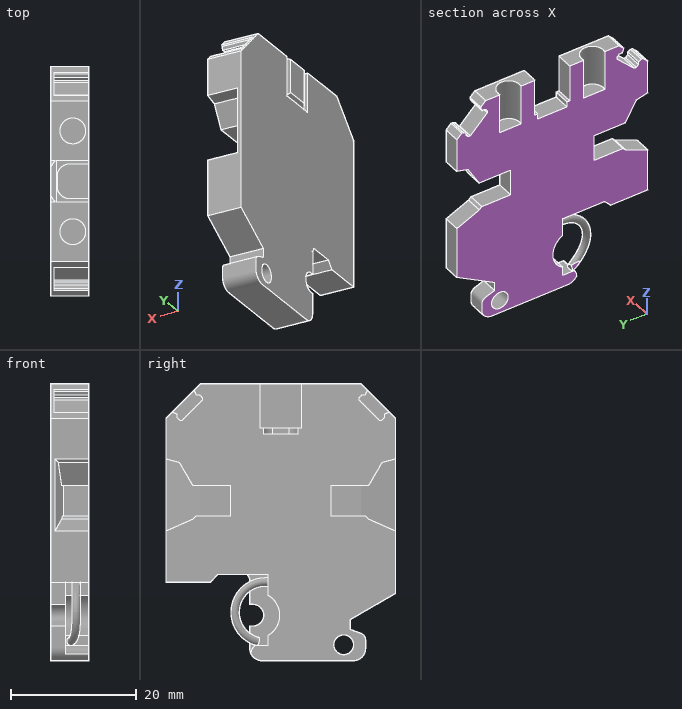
import cadquery as cq
import math


thickness = 6.1
width = 36.5
height = 44.0
half_width = width / 2
top_chamfer = 5.5
foot_radius = 2.0

shoulder_z = 10.7
shoulder_angle = 30.0
neck_y = 11.05
neck_z = 5.0
foot_back_y = 13.5
foot_slope_angle = 20.0
foot_knee_radius = 1.2
foot_front_y = -4.95
rail_roof_z = 13.7
rail_roof_chamfer_y = 0.38
rail_roof_chamfer_z = 0.65
rail_roof_end_y = -10.0
rail_claw_y = -11.15
rail_claw_z = 12.47
rail_bite_radius = 1.7
rail_bite_y = -4.42
rail_bite_z = 7.25
foot_hole_diameter = 3.1
foot_hole_y = 10.0
foot_hole_z = 2.55

spring_wall = 2.35
spring_pocket_y = -2.0
spring_floor_z = 2.41
scoop_radius = 3.7
scoop_half_height = 3.19
scoop_z = 7.22
lip_radius = 1.6
lip_front_y = -4.71
lip_centre_z = 1.19
lip_bottom_z = 1.05

wire_diameter = 1.36
wire_x = 4.07
loop_radius = 4.8
loop_y = -2.44
loop_z = 7.72
wire_bend = 0.38
wire_end_angle = 75.0
wire_root_length = 1.5
wire_bend_steps = 6
wire_tangent_step = 0.01

screw_diameter = 4.1
screw_x = 3.53
screw_y = 8.0
screw_depth = 7.6

marker_half_width = 3.32
marker_bottom_z = 37.0
marker_taper = 1.1
marker_depth = 0.7

bridge_wall = 0.97
bridge_half_width = 3.3
bridge_floor_z = 37.0
bridge_slot_wall = 1.1
bridge_slot_half_width = 2.77
bridge_slot_corner_radius = 2.06
bridge_slot_corner_x = 3.07
bridge_slot_depth = 1.0

label_wall = 0.55
label_edge = 0.94
label_step_drops = (0.3, 0.56)
label_step_insets = (0.03, 0.26)
label_hook = 0.55
label_bevel = 0.42
label_side = 0.36

entry_wall = 0.7
entry_top_z = 32.07
entry_bottom_z = 20.6
throat_y = 13.96
throat_wall = 1.76
throat_top_z = 27.84
throat_bottom_z = 22.5
roof_knee_y = 16.1
roof_knee_z = 31.5
conductor_wall = 2.06
conductor_bottom_z = 22.97
conductor_end_y = 8.0

overshoot = 1.0


def side_plane(x):
    """YZ sketch plane at the given x; extrusion runs toward +X."""
    return cq.Workplane("YZ").workplane(offset=x)


def block(x_range, y_range, z_range):
    """Axis-aligned box between the given limits."""
    lows, highs = zip(x_range, y_range, z_range)
    sizes = [high - low for low, high in zip(lows, highs)]
    return cq.Workplane("XY").box(*sizes, centered=False).translate(lows)


def mirrored(shape):
    """Copy of a shape on the other side of the XZ plane."""
    return shape.mirror("XZ")


def make_housing():
    shoulder_drop = (half_width - neck_y) * math.tan(math.radians(shoulder_angle))
    foot_top_z = neck_z - (foot_back_y - neck_y) * math.tan(math.radians(foot_slope_angle))
    outline = [
        (half_width - top_chamfer, height),
        (half_width, height - top_chamfer),
        (half_width, shoulder_z),
        (neck_y, shoulder_z - shoulder_drop),
        (neck_y, neck_z),
        (foot_back_y, foot_top_z),
        (foot_back_y, 0),
        (foot_front_y, 0),
        (foot_front_y, rail_roof_z - rail_roof_chamfer_z),
        (foot_front_y - rail_roof_chamfer_y, rail_roof_z),
        (rail_roof_end_y, rail_roof_z),
        (rail_claw_y, rail_claw_z),
        (-half_width, rail_claw_z),
        (-half_width, height - top_chamfer),
        (-half_width + top_chamfer, height),
    ]
    housing = side_plane(0).polyline(outline).close().extrude(thickness)
    housing = housing.faces("<Z").edges("|X").fillet(foot_radius)
    knee = cq.selectors.NearestToPointSelector((thickness / 2, foot_back_y, foot_top_z))
    return housing.edges("|X").edges(knee).fillet(foot_knee_radius)


def make_foot_openings():
    hole = side_plane(0).center(foot_hole_y, foot_hole_z).circle(foot_hole_diameter / 2).extrude(thickness)
    bite = side_plane(0).center(rail_bite_y, rail_bite_z).circle(rail_bite_radius).extrude(spring_wall)
    bite_mouth = block(
        (0, spring_wall),
        (foot_front_y - overshoot, rail_bite_y),
        (rail_bite_z - rail_bite_radius, rail_bite_z + rail_bite_radius),
    )
    return hole.union(bite).union(bite_mouth)


def make_spring_pocket():
    scoop_depth = scoop_radius - math.sqrt(scoop_radius**2 - scoop_half_height**2)
    lip_top_angle = math.asin((spring_floor_z - lip_centre_z) / lip_radius)
    lip_bottom_angle = math.asin((lip_bottom_z - lip_centre_z) / lip_radius)

    def lip_point(angle):
        y = lip_front_y + lip_radius * (1 - math.cos(angle))
        return (y, lip_centre_z + lip_radius * math.sin(angle))

    return (
        side_plane(spring_wall)
        .moveTo(spring_pocket_y, rail_roof_z)
        .lineTo(spring_pocket_y, scoop_z + scoop_half_height)
        .threePointArc(
            (spring_pocket_y + scoop_depth, scoop_z),
            (spring_pocket_y, scoop_z - scoop_half_height),
        )
        .lineTo(spring_pocket_y, spring_floor_z)
        .lineTo(*lip_point(lip_top_angle))
        .threePointArc(lip_point((lip_top_angle + lip_bottom_angle) / 2), lip_point(lip_bottom_angle))
        .lineTo(foot_front_y - overshoot, lip_bottom_z)
        .lineTo(foot_front_y - overshoot, rail_roof_z)
        .close()
        .extrude(thickness - spring_wall)
    )


def make_wire():
    """Bowed wire: a round loop whose lower end bends toward the closed side."""

    def loop_point(angle):
        bend = wire_bend * max(angle, 0) ** 3
        return cq.Vector(
            wire_x - bend,
            loop_y - loop_radius * math.cos(angle),
            loop_z - loop_radius * math.sin(angle),
        )

    upper = cq.Edge.makeThreePointArc(
        loop_point(-math.pi / 2), loop_point(-math.pi / 4), loop_point(0)
    )
    end_angle = math.radians(wire_end_angle)
    end_direction = loop_point(end_angle + wire_tangent_step) - loop_point(end_angle - wire_tangent_step)
    lower = cq.Edge.makeSpline(
        [loop_point(end_angle * step / wire_bend_steps) for step in range(wire_bend_steps + 1)],
        tangents=[cq.Vector(0, 0, -1), end_direction],
    )
    root_start = loop_point(-math.pi / 2) + cq.Vector(0, wire_root_length, 0)
    root = cq.Edge.makeLine(root_start, loop_point(-math.pi / 2))
    path = cq.Wire.assembleEdges([root, upper, lower])
    section = cq.Workplane(cq.Plane(root_start, (1, 0, 0), (0, -1, 0))).circle(wire_diameter / 2)
    return section.sweep(cq.Workplane(path), transition="round")


def make_screw_holes():
    return (
        cq.Workplane("XY", origin=(screw_x, 0, height - screw_depth))
        .pushPoints([(0, screw_y), (0, -screw_y)])
        .circle(screw_diameter / 2)
        .extrude(screw_depth)
    )


def make_marker_groove():
    """Shallow pocket holding a tapered pad whose face is flush with the closed side."""
    pocket = block(
        (0, marker_depth), (-marker_half_width, marker_half_width), (marker_bottom_z, height)
    )
    pad_height = 2 * (height - marker_bottom_z)
    pad = (
        cq.Workplane("YZ", origin=(0, 0, height))
        .rect(2 * (marker_half_width - marker_taper), pad_height - 2 * marker_taper)
        .workplane(offset=marker_depth)
        .rect(2 * marker_half_width, pad_height)
        .loft(ruled=True)
    )
    return pocket.cut(pad)


def make_bridge_pocket():
    pocket = block(
        (bridge_wall, thickness), (-bridge_half_width, bridge_half_width), (bridge_floor_z, height)
    )
    corner_y = bridge_slot_half_width - bridge_slot_corner_radius
    corner_run = bridge_slot_corner_x - bridge_slot_wall
    end_y = corner_y + math.sqrt(bridge_slot_corner_radius**2 - corner_run**2)
    mid_x = bridge_slot_corner_x - bridge_slot_corner_radius * math.sin(math.pi / 4)
    mid_y = corner_y + bridge_slot_corner_radius * math.cos(math.pi / 4)
    slot = (
        cq.Workplane("XY", origin=(0, 0, bridge_floor_z - bridge_slot_depth))
        .moveTo(thickness, -bridge_slot_half_width)
        .lineTo(bridge_slot_corner_x, -bridge_slot_half_width)
        .threePointArc((mid_x, -mid_y), (bridge_slot_wall, -end_y))
        .lineTo(bridge_slot_wall, end_y)
        .threePointArc((mid_x, mid_y), (bridge_slot_corner_x, bridge_slot_half_width))
        .lineTo(thickness, bridge_slot_half_width)
        .close()
        .extrude(bridge_slot_depth)
    )
    return pocket.union(slot)


def make_label_groove():
    """Undercut groove in the -Y chamfer, symmetric about the chamfer's middle."""
    y = half_width - top_chamfer + label_edge
    z = height - label_edge
    upper_half = [(y, z)]
    for inset, drop in zip(label_step_insets, label_step_drops):
        y -= inset
        z -= drop
        upper_half.append((y, z))
    y -= label_hook
    upper_half.append((y, z))
    y -= label_bevel
    z -= label_bevel
    upper_half.append((y, z))
    upper_half.append((y, z - label_side))

    swap = height - half_width
    lower_half = [(pz - swap, py + swap) for py, pz in reversed(upper_half)]
    outline = [(-py, pz) for py, pz in upper_half + lower_half]
    return side_plane(label_wall).polyline(outline).close().extrude(thickness - label_wall)


def make_wire_entry():
    """Funnel in the -Y end that narrows to a rectangular conductor channel."""
    sill_bevel = conductor_bottom_z - throat_bottom_z
    wall_slope = (throat_wall - entry_wall) / (half_width - throat_y)
    wall_end_y = throat_y - (conductor_wall - throat_wall) / wall_slope
    side_profile = side_plane(0).polyline([
        (-half_width, entry_bottom_z),
        (-throat_y, throat_bottom_z),
        (-throat_y + sill_bevel, conductor_bottom_z),
        (-conductor_end_y, conductor_bottom_z),
        (-conductor_end_y, throat_top_z),
        (-throat_y, throat_top_z),
        (-roof_knee_y, roof_knee_z),
        (-half_width, entry_top_z),
    ]).close().extrude(thickness)
    plan_profile = cq.Workplane("XY").polyline([
        (entry_wall, -half_width),
        (conductor_wall, -wall_end_y),
        (conductor_wall, -conductor_end_y),
        (thickness, -conductor_end_y),
        (thickness, -half_width),
    ]).close().extrude(height)
    return side_profile.intersect(plan_profile)


housing = make_housing()
for opening in (make_foot_openings(), make_spring_pocket(), make_screw_holes(),
                make_marker_groove(), make_bridge_pocket()):
    housing = housing.cut(opening)
for end_opening in (make_label_groove(), make_wire_entry()):
    housing = housing.cut(end_opening).cut(mirrored(end_opening))

result = housing.union(make_wire())